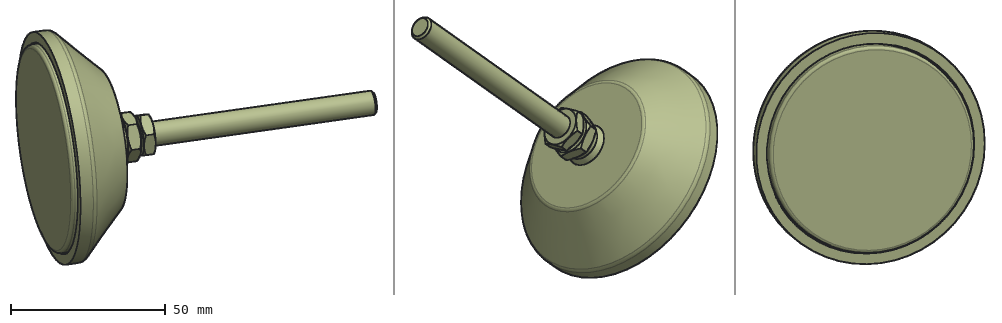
import cadquery as cq
import math


total_length = 110.9
housing_radius = 37.98

pad_radius = 34.0
pad_thickness = 4.0
pad_edge_radius = 1.1

housing_bottom = 2.0
housing_top = 22.0
cone_start = 7.0
rim_edge_radius = 2.0
top_edge_radius = 1.7
pad_clearance = 0.4
housing_top_radius = housing_radius - (housing_top - cone_start)

rod_radius = 4.0
rod_chamfer = 0.8
ball_radius = 7.5
ball_center = 19.5
collar_radius = 6.0
hex_bottom = 26.6
hex_height = 4.3
hex_across_flats = 14.0
neck_radius = 3.5

nut_gap = 1.0
nut_height = 4.0
nut_across_flats = 13.0

corner_trim_angle = math.radians(30)
trim_face_ratio = 0.98

hex_top = hex_bottom + hex_height
nut_bottom = hex_top + nut_gap
nut_top = nut_bottom + nut_height


def cylinder(radius, bottom, top):
    """Round bar along +Y between two heights."""
    return cq.Workplane("XZ", origin=(0, bottom, 0)).circle(radius).extrude(bottom - top)


def ball():
    """Ball joint sphere, shared by the spindle and its socket."""
    return cq.Workplane("XY").sphere(ball_radius).translate((0, ball_center, 0))


def hexagon(across_flats, bottom, height, turn):
    """Hexagon along +Y with trimmed corners; at zero turn two corners lie on X."""
    corner_radius = across_flats / 2 / math.cos(math.pi / 6)
    face_radius = across_flats / 2 * trim_face_ratio
    trim_depth = (corner_radius - face_radius) * math.tan(corner_trim_angle)
    prism = (
        cq.Workplane("XZ", origin=(0, bottom, 0))
        .polygon(6, 2 * corner_radius)
        .extrude(-height)
        .rotate((0, 0, 0), (0, 1, 0), turn)
    )
    trimmer = (
        cq.Workplane("XY")
        .moveTo(0, bottom)
        .lineTo(face_radius, bottom)
        .lineTo(corner_radius, bottom + trim_depth)
        .lineTo(corner_radius, bottom + height - trim_depth)
        .lineTo(face_radius, bottom + height)
        .lineTo(0, bottom + height)
        .close()
        .revolve(360, (0, 0, 0), (0, 1, 0))
    )
    return prism.intersect(trimmer)


def make_pad():
    """Disc with a rounded lower edge."""
    return cylinder(pad_radius, 0, pad_thickness).faces("<Y").edges().fillet(pad_edge_radius)


def make_housing():
    """Conical foot with a recess for the pad and a socket for the ball."""
    body = (
        cq.Workplane("XY")
        .moveTo(0, housing_bottom)
        .lineTo(housing_radius, housing_bottom)
        .lineTo(housing_radius, cone_start)
        .lineTo(housing_top_radius, housing_top)
        .lineTo(0, housing_top)
        .close()
        .revolve(360, (0, 0, 0), (0, 1, 0))
    )
    body = body.faces(">Y").edges().fillet(top_edge_radius)
    body = body.faces("%CYLINDER").edges(">Y").fillet(rim_edge_radius)
    recess = cylinder(pad_radius + pad_clearance, housing_bottom, pad_thickness)
    return body.cut(recess).cut(ball())


def make_spindle():
    """Ball, collar, hexagon, undercut neck and long rod in one piece."""
    collar = cylinder(collar_radius, ball_center, hex_bottom)
    drive = hexagon(hex_across_flats, hex_bottom, hex_height, 0)
    neck = cylinder(neck_radius, hex_top, nut_bottom)
    rod = cylinder(rod_radius, nut_bottom, total_length).faces(">Y").edges().chamfer(rod_chamfer)
    return ball().union(collar).union(drive).union(neck).union(rod)


def make_nut():
    """Thin lock nut on the rod, turned so that two corners lie on Z."""
    bore = cylinder(rod_radius, nut_bottom, nut_top)
    return hexagon(nut_across_flats, nut_bottom, nut_height, 90).cut(bore)


pad = make_pad()
housing = make_housing()
spindle = make_spindle()
nut = make_nut()

result = cq.Compound.makeCompound([pad.val(), housing.val(), spindle.val(), nut.val()])